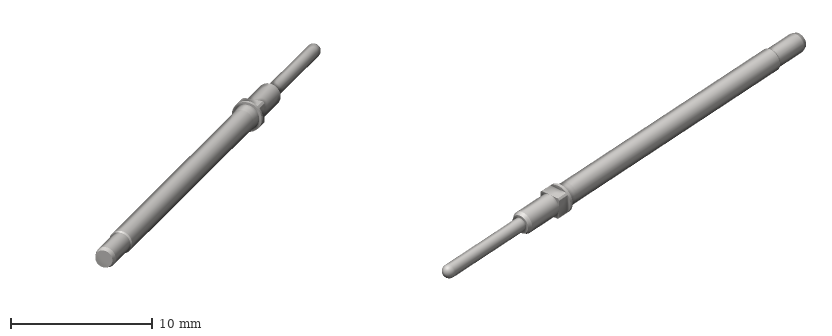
import cadquery as cq
import math

total_length = 38.8

tail_diameter = 1.55
tail_length = 3.0
tail_chamfer_length = 0.35
tail_chamfer_depth = 0.1

barrel_diameter = 1.75
barrel_front = 30.5
barrel_rear_chamfer_length = 0.1
barrel_front_chamfer_length = 0.27
barrel_front_chamfer_depth = 0.15

collar_front_diameter = 1.9
collar_rear = 25.3
collar_length = 0.8
flange_diameter = 2.3
flange_length = 0.25
square_across_flats = barrel_diameter
square_length = 0.95

plunger_diameter = 1.05

tail_radius = tail_diameter / 2
barrel_radius = barrel_diameter / 2
collar_front_radius = collar_front_diameter / 2
flange_radius = flange_diameter / 2
plunger_radius = plunger_diameter / 2

flange_rear = collar_rear + collar_length
flange_front = flange_rear + flange_length
tip_center = total_length - plunger_radius


def make_turned_pin():
    """Revolve the half outline, given as (radius, Y) points, about the Y axis."""
    tail = [
        (0, 0),
        (tail_radius - tail_chamfer_depth, 0),
        (tail_radius, tail_chamfer_length),
        (tail_radius, tail_length),
    ]
    barrel_back = [
        (barrel_radius, tail_length + barrel_rear_chamfer_length),
        (barrel_radius, collar_rear),
    ]
    collar_and_flange = [
        (collar_front_radius, flange_rear),
        (flange_radius, flange_rear),
        (flange_radius, flange_front),
    ]
    barrel_nose = [
        (barrel_radius, flange_front),
        (barrel_radius, barrel_front - barrel_front_chamfer_length),
        (barrel_radius - barrel_front_chamfer_depth, barrel_front),
    ]
    plunger = [
        (plunger_radius, barrel_front),
        (plunger_radius, tip_center),
    ]
    outline = tail + barrel_back + collar_and_flange + barrel_nose + plunger

    tip_offset = plunger_radius * math.sqrt(0.5)
    tip_middle = (tip_offset, tip_center + tip_offset)
    profile = cq.Workplane("XY").polyline(outline).threePointArc(tip_middle, (0, total_length)).close()
    return profile.revolve(360, (0, 0), (0, 1))


def make_square_section():
    """Square block in front of the flange, its corners rounded to the flange diameter."""
    base_plane = cq.Workplane("XZ", origin=(0, flange_front, 0))
    block = base_plane.rect(square_across_flats, square_across_flats).extrude(-square_length)
    envelope = base_plane.circle(flange_radius).extrude(-square_length)
    return block.intersect(envelope)


result = make_turned_pin().union(make_square_section())